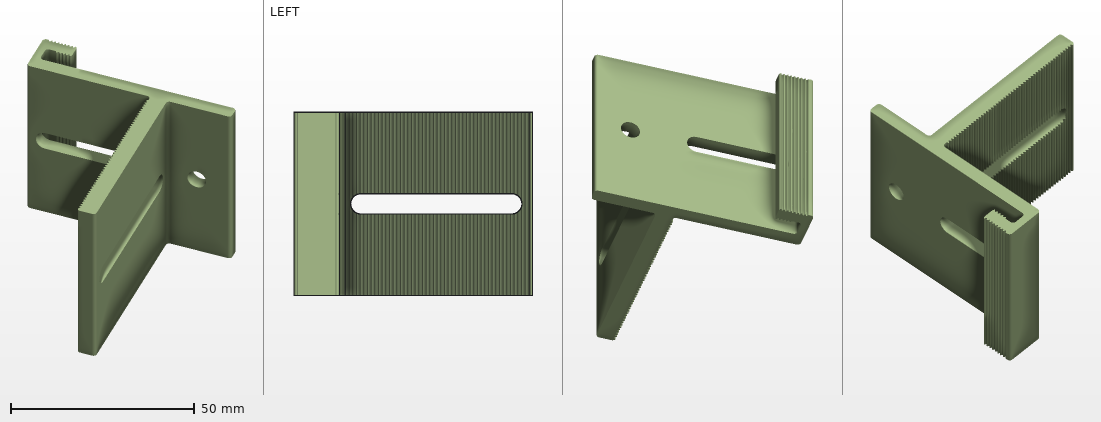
import math

import cadquery as cq

WIDTH = 60.0
LENGTH = 65.1
HEIGHT = 50.0

PLATE_BACK = -8.5
PLATE_THICKNESS = 3.9
HOOK_WALL = 2.3
HOOK_REACH = 9.9
HOOK_THICKNESS = 4.35
LEG_LEFT = 35.8
LEG_RIGHT = 41.3
CORNER_RADIUS = 1.0

LEG_CREST_COUNT = 51
LEG_FIRST_CREST = -14.4
LEG_LAST_CREST = -64.4
OUTER_HOOK_CREST_COUNT = 9
INNER_HOOK_CREST_COUNT = 5
HOOK_LAST_CREST = 9.5
TOOTH_RADIUS = 0.15
FLANK_ANGLE = math.radians(30)

OPENING_DIAMETER = 5.5
PLATE_SLOT_LEFT = 2.7
PLATE_SLOT_RIGHT = 33.65
HOLE_X = 49.9
LEG_SLOT_BACK = -15.5
LEG_SLOT_FRONT = -62.2

plate_front = PLATE_BACK - PLATE_THICKNESS
pitch = (LEG_FIRST_CREST - LEG_LAST_CREST) / (LEG_CREST_COUNT - 1)

rounding_loss = TOOTH_RADIUS * (1 / math.sin(FLANK_ANGLE) - 1)
tooth_depth = pitch / 2 / math.tan(FLANK_ANGLE) - 2 * rounding_loss
arc_half_width = TOOTH_RADIUS * math.cos(FLANK_ANGLE)
arc_height = TOOTH_RADIUS * (1 - math.sin(FLANK_ANGLE))
crest_to_flank_foot = (tooth_depth + rounding_loss) * math.tan(FLANK_ANGLE)
hook_end_depth = (HOOK_REACH - HOOK_LAST_CREST) / math.tan(FLANK_ANGLE) - rounding_loss

hook_inner_face = tooth_depth - HOOK_THICKNESS
leg_toothless_left = LEG_LEFT + tooth_depth
hook_inner_first_crest = HOOK_LAST_CREST - (INNER_HOOK_CREST_COUNT - 1) * pitch
hook_outer_first_crest = HOOK_LAST_CREST - (OUTER_HOOK_CREST_COUNT - 1) * pitch


def on_hook_outside(distance, depth):
    return (hook_outer_first_crest + distance, -depth)


def on_hook_inside(distance, depth):
    return (HOOK_LAST_CREST - distance, depth - HOOK_THICKNESS)


def on_leg(distance, depth):
    return (LEG_LEFT + depth, LEG_LAST_CREST + distance)


def add_round(outline, place, centre, depth, drop):
    """Line to a crest or root arc and follow it; its ends lie `drop` deeper than its middle."""
    start = place(centre - arc_half_width, depth + drop)
    end = place(centre + arc_half_width, depth + drop)
    return outline.lineTo(*start).threePointArc(place(centre, depth), end)


def add_half_crest(outline, place):
    """Leave the middle of the first crest along the second half of its arc."""
    half_sweep = (math.pi / 2 - FLANK_ANGLE) / 2
    middle = place(TOOTH_RADIUS * math.sin(half_sweep), TOOTH_RADIUS * (1 - math.cos(half_sweep)))
    return outline.threePointArc(middle, place(arc_half_width, arc_height))


def add_teeth(outline, place, crest_count):
    """Append the roots and crests that follow the first crest.

    `place` turns (distance from the first crest, depth below the crests) into a point.
    """
    for index in range(1, crest_count):
        outline = add_round(outline, place, (index - 0.5) * pitch, tooth_depth, -arc_height)
        outline = add_round(outline, place, index * pitch, 0, arc_height)
    return outline


def make_profile():
    """Outline in the XY plane, starting at the outer rear corner of the hook."""
    outline = cq.Workplane("XY").lineTo(hook_outer_first_crest, 0)
    outline = add_half_crest(outline, on_hook_outside)
    outline = add_teeth(outline, on_hook_outside, OUTER_HOOK_CREST_COUNT)
    outline = outline.lineTo(HOOK_REACH, -hook_end_depth)
    outline = outline.lineTo(HOOK_REACH, hook_end_depth - HOOK_THICKNESS)
    outline = add_round(outline, on_hook_inside, 0, 0, arc_height)
    outline = add_teeth(outline, on_hook_inside, INNER_HOOK_CREST_COUNT)

    outline = (
        outline.lineTo(hook_inner_first_crest - crest_to_flank_foot, hook_inner_face)
        .lineTo(HOOK_WALL, hook_inner_face)
        .lineTo(HOOK_WALL, PLATE_BACK)
        .lineTo(WIDTH, PLATE_BACK)
        .lineTo(WIDTH, plate_front)
        .lineTo(LEG_RIGHT, plate_front)
        .lineTo(LEG_RIGHT, -LENGTH)
    )

    outline = outline.lineTo(LEG_LEFT + CORNER_RADIUS, -LENGTH)
    outline = outline.radiusArc((LEG_LEFT, LEG_LAST_CREST), CORNER_RADIUS)
    outline = add_half_crest(outline, on_leg)
    outline = add_teeth(outline, on_leg, LEG_CREST_COUNT)
    return (
        outline.lineTo(leg_toothless_left, LEG_FIRST_CREST + crest_to_flank_foot)
        .lineTo(leg_toothless_left, plate_front)
        .lineTo(0, plate_front)
        .close()
    )


def round_corners(body):
    """Round the upright edges at the plain corners of the profile."""
    corners = [
        (0, 0),
        (HOOK_WALL, hook_inner_face),
        (HOOK_WALL, PLATE_BACK),
        (WIDTH, PLATE_BACK),
        (WIDTH, plate_front),
        (LEG_RIGHT, plate_front),
        (LEG_RIGHT, -LENGTH),
        (leg_toothless_left, plate_front),
        (0, plate_front),
    ]
    for x, y in corners:
        nearest_edge = cq.selectors.NearestToPointSelector((x, y, HEIGHT / 2))
        body = body.edges("|Z").edges(nearest_edge).fillet(CORNER_RADIUS)
    return body


def slot_cutter(plane, origin, length, depth):
    return cq.Workplane(plane, origin=origin).slot2D(length, OPENING_DIAMETER).extrude(depth)


def cut_openings(body):
    """Cut the slot and hole through the plate and the slot through the leg."""
    plate_slot_centre = ((PLATE_SLOT_LEFT + PLATE_SLOT_RIGHT) / 2, PLATE_BACK, HEIGHT / 2)
    plate_slot_length = PLATE_SLOT_RIGHT - PLATE_SLOT_LEFT
    plate_slot = slot_cutter("XZ", plate_slot_centre, plate_slot_length, PLATE_THICKNESS)

    leg_slot_centre = (LEG_LEFT, (LEG_SLOT_BACK + LEG_SLOT_FRONT) / 2, HEIGHT / 2)
    leg_slot_length = LEG_SLOT_BACK - LEG_SLOT_FRONT
    leg_slot = slot_cutter("YZ", leg_slot_centre, leg_slot_length, LEG_RIGHT - LEG_LEFT)

    hole_plane = cq.Workplane("XZ", origin=(HOLE_X, PLATE_BACK, HEIGHT / 2))
    hole = hole_plane.circle(OPENING_DIAMETER / 2).extrude(PLATE_THICKNESS)
    return body.cut(plate_slot).cut(leg_slot).cut(hole)


result = cut_openings(round_corners(make_profile().extrude(HEIGHT)))